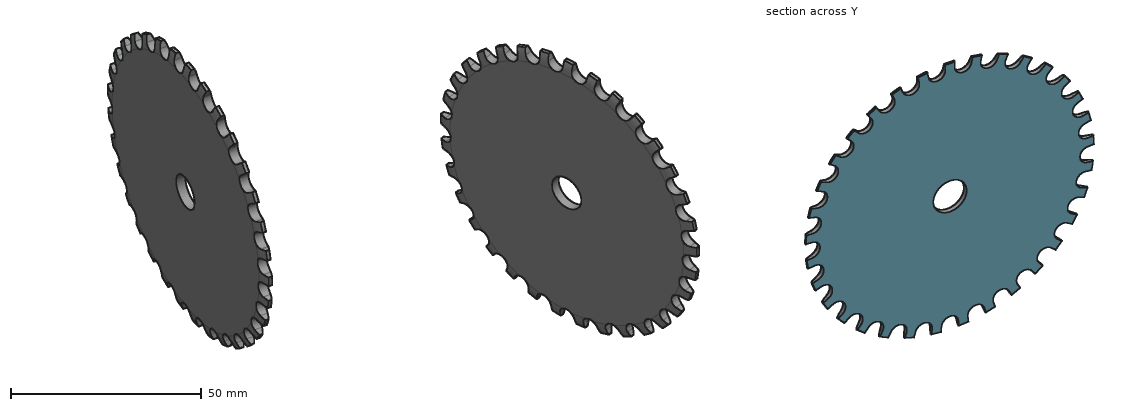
import cadquery as cq
import math

TOOTH_COUNT = 33
TIP_RADIUS = 43.75
THICKNESS = 2.8
BORE_DIAMETER = 10.0

CHAIN_PITCH = 8.0
ROLLER_DIAMETER = 5.0

FACE_RADIUS = 39.9
TIP_THICKNESS = 1.05
SIDE_ARC_RADIUS = 10.0
CUT_CLEARANCE = 1.75

TOOTH_ANGLE = 360.0 / TOOTH_COUNT
HALF_TOOTH_ANGLE = math.radians(TOOTH_ANGLE / 2)
PITCH_RADIUS = CHAIN_PITCH / 2 / math.sin(HALF_TOOTH_ANGLE)
CUT_START_Y = THICKNESS / 2 + CUT_CLEARANCE


def blank():
    """Revolve the half section, with its sides curving in towards the rim."""
    half = THICKNESS / 2
    half_tip = TIP_THICKNESS / 2
    return (
        cq.Workplane("XY")
        .moveTo(0, -half)
        .lineTo(FACE_RADIUS, -half)
        .radiusArc((TIP_RADIUS, -half_tip), -SIDE_ARC_RADIUS)
        .lineTo(TIP_RADIUS, half_tip)
        .radiusArc((FACE_RADIUS, half), -SIDE_ARC_RADIUS)
        .lineTo(0, half)
        .close()
        .revolve(360, (0, 0), (0, 1))
    )


def tooth_gap():
    """Gap centred on +Z: a round roller seat, then flanks parallel to the axes of the teeth beside it."""
    roller_radius = ROLLER_DIAMETER / 2
    flank_x = roller_radius * math.cos(HALF_TOOTH_ANGLE)
    flank_z = PITCH_RADIUS - roller_radius * math.sin(HALF_TOOTH_ANGLE)
    mouth_z = TIP_RADIUS + CUT_CLEARANCE
    mouth_x = flank_x + (mouth_z - flank_z) * math.tan(HALF_TOOTH_ANGLE)
    return (
        cq.Workplane("XZ", origin=(0, CUT_START_Y, 0))
        .moveTo(-mouth_x, mouth_z)
        .lineTo(-flank_x, flank_z)
        .threePointArc((0, PITCH_RADIUS - roller_radius), (flank_x, flank_z))
        .lineTo(mouth_x, mouth_z)
        .close()
        .extrude(THICKNESS + 2 * CUT_CLEARANCE)
    )


def bore():
    return (
        cq.Workplane("XZ", origin=(0, CUT_START_Y, 0))
        .circle(BORE_DIAMETER / 2)
        .extrude(THICKNESS + 2 * CUT_CLEARANCE)
    )


result = blank().cut(bore())

gap = tooth_gap()
for index in range(TOOTH_COUNT):
    gap_angle = (index + 0.5) * TOOTH_ANGLE
    result = result.cut(gap.rotate((0, 0, 0), (0, 1, 0), gap_angle))